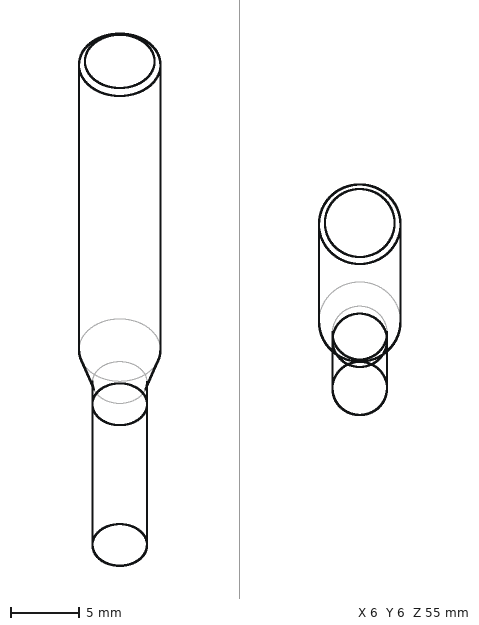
import cadquery as cq

total_length = 55.0
shank_diameter = 6.0
neck_diameter = 4.0
cutter_diameter = 4.0
cutter_length = 16.0
neck_length = 2.5
taper_length = 3.7
chamfer_height = 0.4
chamfer_width = 0.45

shank_radius = shank_diameter / 2
neck_radius = neck_diameter / 2
taper_start = cutter_length + neck_length
taper_end = taper_start + taper_length


def make_cutter():
    """Plain cylindrical cutting section, ending at the neck."""
    return cq.Workplane("XY").circle(cutter_diameter / 2).extrude(cutter_length)


def make_shank():
    """Neck, taper and chamfered shank, revolved from one half profile."""
    return (
        cq.Workplane("XZ")
        .moveTo(0, cutter_length)
        .lineTo(neck_radius, cutter_length)
        .lineTo(neck_radius, taper_start)
        .lineTo(shank_radius, taper_end)
        .lineTo(shank_radius, total_length - chamfer_height)
        .lineTo(shank_radius - chamfer_width, total_length)
        .lineTo(0, total_length)
        .close()
        .revolve(360, (0, 0), (0, 1))
    )


cutter = make_cutter()
shank = make_shank()

result = cq.Compound.makeCompound([cutter.val(), shank.val()])